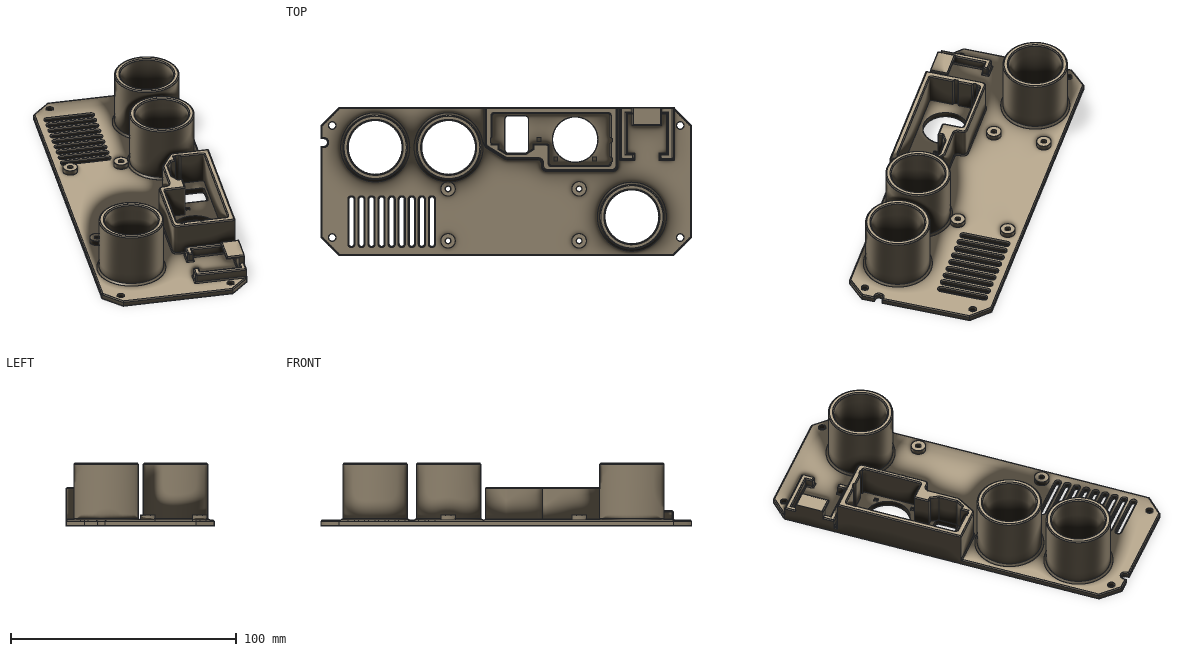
import cadquery as cq
import math

PLATE_X = 164.0
PLATE_Y = 65.5
PLATE_T = 2.5
CORNER_CUT = 8.0
PLATE_BEVEL = 0.5
X_MAX = PLATE_X / 2
Y_MAX = PLATE_Y / 2

EDGE_BEVEL = 0.5
FOOT_BEVEL = 0.5
FOOT_TAPER = 45.0

TUBE_OD = 28.6
TUBE_ID = 23.8
TUBE_H = 25.25
TUBE_FOOT_WIDTH = 1.0
TUBE_FOOT_H = 0.75
TUBE_CENTERS = [(-58.0, 15.1), (-25.5, 15.1), (55.6, -15.6)]

SCREW_D = 3.2
SCREW_X = 77.0
SCREW_Y = 24.8

STANDOFF_OD = 6.4
STANDOFF_ID = 2.4
STANDOFF_H = 2.25
STANDOFF_PITCH_X = 58.0
STANDOFF_PITCH_Y = 23.0
STANDOFF_CENTER = (3.25, -14.75)

VENT_COUNT = 9
VENT_PITCH = 4.45
VENT_FIRST_X = -68.5
VENT_Y = -17.75
VENT_W = 2.2
VENT_LENGTH = 21.9

NOTCH_Y = 17.25
NOTCH_W = 3.5
NOTCH_DEPTH = 2.9

BOX_H = 14.5
BOX_WALL = 3.0
BOX_LEFT = -9.25
BOX_RIGHT = 49.0
BOX_FRONT = 4.9
BOX_STEP_X = 16.0
BOX_STEP_Y = 10.1
BOX_SLANT_X = 0.0
BOX_SLANT_Y = 15.7
BOX_CORNER_R = 2.0
CAVITY_BACK = 30.1
CAVITY_FRONT = 7.1
CAVITY_STEP_Y = 16.55
CAVITY_CORNER_R = 1.0

BAY_LEFT = -3.1
BAY_RIGHT = 11.8
BAY_FRONT = 12.5
BAY_BEVEL_X = 3.2
BAY_BEVEL_Y = 2.0

GROOVE_DEPTH = 1.0
GROOVE_W = 2.8
RIGHT_GROOVE_YS = [18.3, 9.6]
LEFT_GROOVE_Y = 18.2
LEFT_GROOVE_DEPTH = 0.8
LEFT_GROOVE_W = 3.2

WINDOW_CENTER = (4.6, 20.8)
WINDOW_X = 10.4
WINDOW_Y = 16.4
WINDOW_R = 1.5
SOCKET_D = 20.0
SOCKET_CENTER = (30.5, 18.55)
DIMPLE_SIZE = 1.75
DIMPLE_DEPTH = 1.0
DIMPLE_OFFSETS = [(-16.1, 0.0), (-8.6, -8.65), (8.6, -8.65)]

FRAME_H = 4.25
FRAME_WALL = 2.5
FRAME_LEFT = 50.6
FRAME_RIGHT = 73.9
FRAME_FRONT = 9.7
FRAME_BACK_WALL = 2.4
FRAME_MOUTH = 11.6
FRAME_X = (FRAME_LEFT + FRAME_RIGHT) / 2
TAB_W = 13.0
TAB_TOP = 8.25
TAB_T = 1.0
TAB_REACH = 8.0


def prism(points, z_start, height):
    return cq.Workplane("XY").workplane(offset=z_start).polyline(points).close().extrude(height)


def block(x_range, y_range, z_range):
    low, high = zip(x_range, y_range, z_range)
    size = [end - start for start, end in zip(low, high)]
    return cq.Workplane("XY").box(*size, centered=False).translate(low)


def round_corners(body, corners, radius):
    """Round the vertical edges of a body that stand at the given points."""
    for x, y in corners:
        edge = cq.selectors.NearestToPointSelector((x, y, body.val().Center().z))
        body = body.edges("|Z").edges(edge).fillet(radius)
    return body


def plate_blank():
    return cq.Workplane("XY").rect(PLATE_X, PLATE_Y).extrude(PLATE_T).edges("|Z").chamfer(CORNER_CUT)


def foot(outline):
    """Sloped skirt where a wall of the given outline meets the plate."""
    base = outline.faces("<Z").wires().val().moved(cq.Location(cq.Vector(0, 0, PLATE_T)))
    grown = base.offset2D(FOOT_BEVEL)[0]
    skirt = cq.Workplane("XY").add(grown).toPending().extrude(FOOT_BEVEL, taper=FOOT_TAPER)
    limit = cq.Workplane("XY").rect(PLATE_X, PLATE_Y).extrude(PLATE_T + BOX_H)
    return skirt.intersect(limit)


def vent_centers():
    return [(VENT_FIRST_X + i * VENT_PITCH, VENT_Y) for i in range(VENT_COUNT)]


def cable_notch():
    """Round-ended slot running in from the left edge of the plate."""
    edge = cq.Workplane("XY").center(-X_MAX, NOTCH_Y)
    return edge.slot2D(2 * NOTCH_DEPTH, NOTCH_W).extrude(PLATE_T)


def plate():
    body = plate_blank()
    vents = cq.Workplane("XY").pushPoints(vent_centers()).slot2D(VENT_LENGTH, VENT_W, 90).extrude(PLATE_T)
    body = body.cut(cable_notch()).cut(vents)
    body = body.faces(">Z").edges().chamfer(PLATE_BEVEL)
    screws = cq.Workplane("XY").rect(2 * SCREW_X, 2 * SCREW_Y, forConstruction=True).vertices()
    return body.cut(screws.circle(SCREW_D / 2).extrude(PLATE_T))


def tube(center):
    """Tube wall with its sloped foot, and the bore to clear through the plate."""
    base = cq.Workplane("XY").center(*center)
    outer = base.circle(TUBE_OD / 2).extrude(PLATE_T + TUBE_H)
    bore = base.circle(TUBE_ID / 2).extrude(PLATE_T + TUBE_H)
    wall = outer.cut(bore).faces(">Z").edges().chamfer(EDGE_BEVEL)
    slope = math.degrees(math.atan2(TUBE_FOOT_WIDTH, TUBE_FOOT_H))
    skirt = base.workplane(offset=PLATE_T).circle(TUBE_OD / 2 + TUBE_FOOT_WIDTH)
    skirt = skirt.extrude(TUBE_FOOT_H, taper=slope)
    return wall.union(skirt.cut(bore)), bore


def standoff_points():
    return (
        cq.Workplane("XY")
        .center(*STANDOFF_CENTER)
        .rect(STANDOFF_PITCH_X, STANDOFF_PITCH_Y, forConstruction=True)
        .vertices()
    )


def box_outline():
    """Outside of the box, with a slanted corner and a step along its front."""
    step = (BOX_STEP_X, BOX_STEP_Y)
    slant_start = (BOX_LEFT, BOX_SLANT_Y)
    slant_end = (BOX_SLANT_X, BOX_STEP_Y)
    front_left = (BOX_STEP_X, BOX_FRONT)
    front_right = (BOX_RIGHT, BOX_FRONT)
    points = [(BOX_LEFT, Y_MAX), slant_start, slant_end, step, front_left, front_right, (BOX_RIGHT, Y_MAX)]
    body = prism(points, 0, PLATE_T + BOX_H)
    return round_corners(body, [slant_start, slant_end, step, front_left, front_right], BOX_CORNER_R)


def box_cavity():
    """Space inside the box walls, without the clip grooves."""
    left = BOX_LEFT + BOX_WALL
    right = BOX_RIGHT - BOX_WALL
    inner_step_x = BOX_STEP_X + BOX_WALL
    back_corners = [(left, CAVITY_BACK), (right, CAVITY_BACK)]
    front_corners = [(inner_step_x, CAVITY_FRONT), (right, CAVITY_FRONT)]
    bay = [
        (BAY_LEFT, CAVITY_STEP_Y),
        (BAY_LEFT, BAY_FRONT + BAY_BEVEL_Y),
        (BAY_LEFT + BAY_BEVEL_X, BAY_FRONT),
        (BAY_RIGHT - BAY_BEVEL_X, BAY_FRONT),
        (BAY_RIGHT, BAY_FRONT + BAY_BEVEL_Y),
        (BAY_RIGHT, CAVITY_STEP_Y),
    ]
    step = (inner_step_x, CAVITY_STEP_Y)
    points = [back_corners[0], (left, CAVITY_STEP_Y), *bay, step, *front_corners, back_corners[1]]
    body = prism(points, PLATE_T, BOX_H)
    return round_corners(body, [*back_corners, *front_corners, step], CAVITY_CORNER_R)


def groove(wall_x, depth, center_y, width):
    """Upright groove of trapezoid section, its floor half as wide as its mouth."""
    half_mouth = width / 2
    half_floor = half_mouth / 2
    points = [
        (wall_x, center_y - half_mouth),
        (wall_x + depth, center_y - half_floor),
        (wall_x + depth, center_y + half_floor),
        (wall_x, center_y + half_mouth),
    ]
    return prism(points, PLATE_T, BOX_H)


def cavity_grooves():
    grooves = groove(BOX_LEFT + BOX_WALL, -LEFT_GROOVE_DEPTH, LEFT_GROOVE_Y, LEFT_GROOVE_W)
    for y in RIGHT_GROOVE_YS:
        grooves = grooves.union(groove(BOX_RIGHT - BOX_WALL, GROOVE_DEPTH, y, GROOVE_W))
    return grooves


def socket_box():
    """Walls and skirt of the box, plus the space inside to be cleared."""
    outline = box_outline()
    cavity = box_cavity()
    walls = outline.cut(cavity).faces(">Z").edges().chamfer(EDGE_BEVEL)
    return walls.union(foot(outline)), cavity.union(cavity_grooves())


def floor_openings():
    window = cq.Workplane("XY").center(*WINDOW_CENTER).rect(WINDOW_X, WINDOW_Y).extrude(PLATE_T)
    window = window.edges("|Z").fillet(WINDOW_R)
    socket = cq.Workplane("XY").center(*SOCKET_CENTER)
    dimples = socket.workplane(offset=PLATE_T - DIMPLE_DEPTH).pushPoints(DIMPLE_OFFSETS)
    openings = window.union(socket.circle(SOCKET_D / 2).extrude(PLATE_T))
    return openings.union(dimples.rect(DIMPLE_SIZE, DIMPLE_SIZE).extrude(DIMPLE_DEPTH))


def frame():
    inner_left = FRAME_LEFT + FRAME_WALL
    inner_right = FRAME_RIGHT - FRAME_WALL
    inner_back = Y_MAX - FRAME_BACK_WALL
    inner_front = FRAME_FRONT + FRAME_WALL
    mouth_left = FRAME_X - FRAME_MOUTH / 2
    mouth_right = FRAME_X + FRAME_MOUTH / 2
    points = [
        (FRAME_LEFT, Y_MAX),
        (FRAME_LEFT, FRAME_FRONT),
        (mouth_left, FRAME_FRONT),
        (mouth_left, inner_front),
        (inner_left, inner_front),
        (inner_left, inner_back),
        (inner_right, inner_back),
        (inner_right, inner_front),
        (mouth_right, inner_front),
        (mouth_right, FRAME_FRONT),
        (FRAME_RIGHT, FRAME_FRONT),
        (FRAME_RIGHT, Y_MAX),
    ]
    outline = prism(points, 0, PLATE_T + FRAME_H)
    walls = outline.edges("|Z and <Y").chamfer(EDGE_BEVEL)
    walls = walls.faces(">Z").edges().chamfer(EDGE_BEVEL)
    return walls.union(foot(outline)).union(tab())


def tab():
    """Overhanging tab carried by a block on the frame's back wall."""
    x_range = (FRAME_X - TAB_W / 2, FRAME_X + TAB_W / 2)
    top = PLATE_T + TAB_TOP
    post = block(x_range, (Y_MAX - FRAME_BACK_WALL, Y_MAX), (0, top))
    plank = block(x_range, (Y_MAX - TAB_REACH, Y_MAX), (top - TAB_T, top))
    return post.union(plank).faces(">Z").edges("not >Y").chamfer(EDGE_BEVEL)


def build():
    body = plate()
    for center in TUBE_CENTERS:
        wall, bore = tube(center)
        body = body.cut(bore).union(wall)
    standoffs = standoff_points().circle(STANDOFF_OD / 2).extrude(PLATE_T + STANDOFF_H)
    pilots = standoff_points().circle(STANDOFF_ID / 2).extrude(PLATE_T + STANDOFF_H)
    body = body.union(standoffs).cut(pilots)
    box, cavity = socket_box()
    body = body.union(box).cut(cavity).cut(floor_openings())
    return body.union(frame())


result = build()